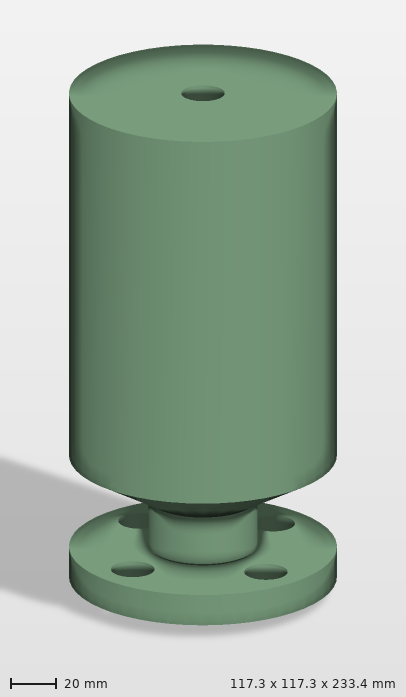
import cadquery as cq
import math

body_diameter = 117.348
total_height = 233.3625

raised_face_diameter = 63.5
raised_face_height = 6.35
flange_diameter = body_diameter
flange_thickness = 14.224
flange_top = raised_face_height + flange_thickness

bolt_hole_diameter = 19.05
bolt_circle_diameter = 82.55
bolt_hole_count = 4

neck_diameter = 47.752
neck_chamfer = 1.0

body_bottom = 63.5
cone_angle = 30.0
cone_height = (body_diameter - neck_diameter) / 2 * math.tan(math.radians(cone_angle))
cone_bottom = body_bottom - cone_height

bore_diameter = 19.05


def turned_body():
    """Revolve the half outline (radius, height) around the Z axis."""
    raised_face_radius = raised_face_diameter / 2
    flange_radius = flange_diameter / 2
    neck_radius = neck_diameter / 2
    body_radius = body_diameter / 2
    outline = [
        (0, 0),
        (raised_face_radius, 0),
        (raised_face_radius, raised_face_height),
        (flange_radius, raised_face_height),
        (flange_radius, flange_top),
        (neck_radius - neck_chamfer, flange_top),
        (neck_radius, flange_top + neck_chamfer),
        (neck_radius, cone_bottom),
        (body_radius, body_bottom),
        (body_radius, total_height),
        (0, total_height),
    ]
    return cq.Workplane("XZ").polyline(outline).close().revolve(360, (0, 0), (0, 1))


def bore():
    """Cylinder that opens the part from end to end."""
    return cq.Workplane("XY").circle(bore_diameter / 2).extrude(total_height)


def bolt_holes():
    """Cylinders that pass through the flange on the bolt circle."""
    return (
        cq.Workplane("XY")
        .workplane(offset=raised_face_height)
        .polarArray(bolt_circle_diameter / 2, 0, 360, bolt_hole_count)
        .circle(bolt_hole_diameter / 2)
        .extrude(flange_thickness)
    )


result = turned_body().cut(bore()).cut(bolt_holes())